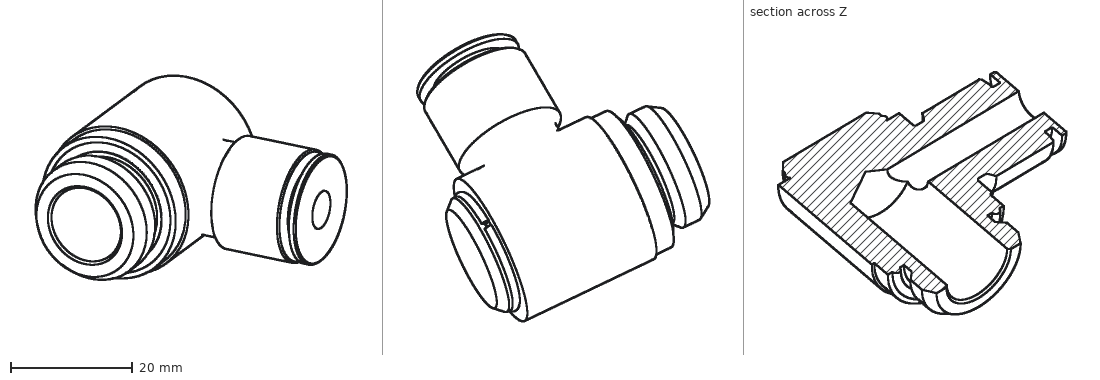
import cadquery as cq

total_length = 44.4
body_radius = 13.0
sleeve_rear = 12.05
sleeve_front = -12.08
rear_end = 15.6
plug_end = -24.0
plug_radius = 10.4
plug_chamfer_length = 2.18
plug_chamfer_depth = 1.35
plug_cone_start = -17.5
neck_radius = 9.0
cap_chamfer_length = 1.55
cap_chamfer_depth = 1.4
collar_radius = 12.48
collar_end = -15.6

ring_radius = 10.85
ring_length = 1.35
ring_split_width = 0.98
ring_groove_start = 12.85
ring_groove_radius = 9.95

seal_radius = 11.5
seal_protrusion = 0.8

bore_radius = 6.5
mouth_chamfer = 0.45
bore_cone_start = 1.15
bore_cone_length = 3.9

branch_neck_radius = 8.05
branch_cone_start = 15.05
branch_neck_fillet = 0.65
branch_root_fillet = 0.45
socket_radius = 9.55
socket_start = 15.9
socket_end = 28.45
socket_edge = 0.3
socket_lip_radius = 7.8
socket_lip_length = 0.2
collet_radius = 6.75
flange_radius = 9.3
flange_start = 30.25
branch_end = total_length - body_radius
flange_chamfer = 0.25
cross_hole_radius = 3.2

selection_margin = 0.45


def revolve_main(points):
    """Revolve (radius, y) points about the main axis."""
    return cq.Workplane("XY").polyline(points).close().revolve(360, (0, 0, 0), (0, 1, 0))


def main_cylinder(radius, start, end):
    return cq.Workplane("XZ", origin=(0, start, 0)).circle(radius).extrude(start - end)


def make_sleeve():
    """Outer sleeve with the branch neck blended into it."""
    sleeve = main_cylinder(body_radius, sleeve_front, sleeve_rear)
    neck_length = branch_cone_start - branch_neck_fillet
    neck = cq.Workplane("YZ").circle(branch_neck_radius).extrude(neck_length)
    joined = sleeve.union(neck)
    root = cq.selectors.BoxSelector(
        (selection_margin, sleeve_front + selection_margin, -body_radius),
        (neck_length - selection_margin, sleeve_rear - selection_margin, body_radius),
        boundingbox=True,
    )
    return joined.edges(root).edges("not %LINE").fillet(branch_root_fillet)


def make_stem():
    """Screw stem before boring: rear cap, collar, neck and plug."""
    plug_cone_depth = plug_radius - neck_radius
    return revolve_main([
        (0, rear_end),
        (plug_radius - cap_chamfer_depth, rear_end),
        (plug_radius, rear_end - cap_chamfer_length),
        (plug_radius, ring_groove_start),
        (ring_groove_radius, ring_groove_start),
        (ring_groove_radius, sleeve_front),
        (collar_radius, sleeve_front),
        (collar_radius, collar_end),
        (neck_radius, collar_end),
        (neck_radius, plug_cone_start),
        (plug_radius, plug_cone_start - plug_cone_depth),
        (plug_radius, plug_end + plug_chamfer_length),
        (plug_radius - plug_chamfer_depth, plug_end),
        (0, plug_end),
    ])


def make_retaining_ring():
    """Ring with a rounded rim, cut through by a narrow split on top."""
    middle = sleeve_rear + ring_length / 2
    ring = (
        cq.Workplane("XY")
        .moveTo(ring_groove_radius, sleeve_rear)
        .lineTo(plug_radius, sleeve_rear)
        .threePointArc((ring_radius, middle), (plug_radius, sleeve_rear + ring_length))
        .lineTo(ring_groove_radius, sleeve_rear + ring_length)
        .close()
        .revolve(360, (0, 0, 0), (0, 1, 0))
    )
    split = cq.Workplane("XY").box(ring_split_width, ring_length, ring_radius, centered=(True, False, False))
    return ring.cut(split.translate((0, sleeve_rear, 0)))


def make_seal():
    """Half-round bead on the front face of the collar."""
    bead_centre = seal_radius - seal_protrusion
    return (
        cq.Workplane("XY")
        .moveTo(seal_radius, collar_end)
        .threePointArc(
            (bead_centre, collar_end - seal_protrusion), (bead_centre - seal_protrusion, collar_end)
        )
        .close()
        .revolve(360, (0, 0, 0), (0, 1, 0))
    )


def make_branch():
    """Push-in socket, collet and release flange revolved about X."""
    lip_end = socket_end + socket_lip_length
    profile = [
        (0, 0),
        (0, branch_neck_radius),
        (branch_cone_start, branch_neck_radius),
        (socket_start, socket_radius),
        (socket_end - socket_edge, socket_radius),
        (socket_end, socket_radius - socket_edge),
        (lip_end, socket_lip_radius),
        (lip_end, collet_radius),
        (flange_start, collet_radius),
        (flange_start, flange_radius),
        (branch_end - flange_chamfer, flange_radius),
        (branch_end, flange_radius - flange_chamfer),
        (branch_end, 0),
    ]
    branch = cq.Workplane("XY").polyline(profile).close().revolve(360, (0, 0, 0), (1, 0, 0))
    neck_end = cq.selectors.BoxSelector(
        (branch_cone_start - selection_margin, -socket_radius, -socket_radius),
        (branch_cone_start + selection_margin, socket_radius, socket_radius),
        boundingbox=True,
    )
    return branch.edges(neck_end).fillet(branch_neck_fillet)


def make_bore():
    return revolve_main([
        (0, plug_end),
        (bore_radius + mouth_chamfer, plug_end),
        (bore_radius, plug_end + mouth_chamfer),
        (bore_radius, bore_cone_start),
        (0, bore_cone_start + bore_cone_length),
    ])


solid = make_sleeve().union(make_branch()).union(make_stem())
solid = solid.union(make_retaining_ring()).union(make_seal())
cross_hole = cq.Workplane("YZ").circle(cross_hole_radius).extrude(branch_end)
result = solid.cut(make_bore()).cut(cross_hole)